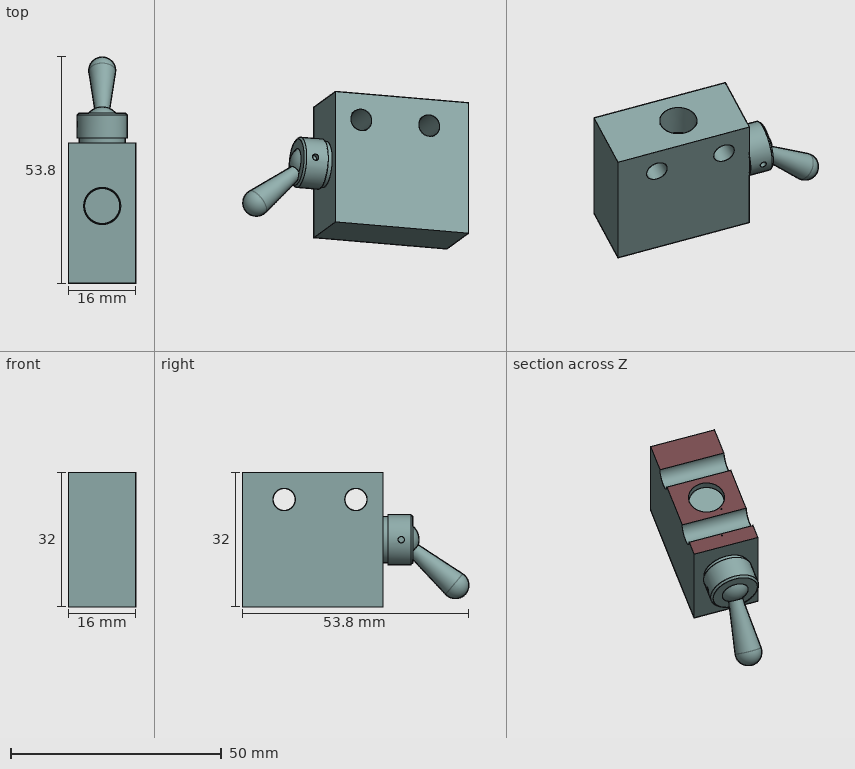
import cadquery as cq
import math

block_width = 16.0
block_height = 32.0
total_length = 53.75
block_length = 33.4

mount_diameter = 5.2
mount_drop = 6.45
mount_offsets = (6.45, 23.5)

port_diameter = 8.8
port_floor_diameter = 8.35
port_depth = 8.05
port_offset = 15.0

neck_diameter = 11.0
neck_length = 1.15
collar_diameter = 12.0
collar_end = 7.05
collar_chamfer = 0.5
pin_diameter = 1.5
pin_depth = 1.6
pivot_offset = 4.3

ball_radius = 4.25
lever_angle = 40.0
shaft_base_radius = 1.25
knob_radius = 3.2
lever_reach = total_length - block_length
knob_center_offset = lever_reach - knob_radius
knob_distance = (knob_center_offset - pivot_offset) / math.cos(math.radians(lever_angle))


def make_block():
    block = cq.Workplane("XY").box(block_width, block_length, block_height)
    block = block.translate((0, -block_length / 2, 0))
    for offset in mount_offsets:
        hole = (
            cq.Workplane("YZ")
            .center(-offset, block_height / 2 - mount_drop)
            .circle(mount_diameter / 2)
            .extrude(block_width, both=True)
        )
        block = block.cut(hole)
    port = cq.Solid.makeCone(
        port_diameter / 2,
        port_floor_diameter / 2,
        port_depth,
        pnt=cq.Vector(0, -port_offset, block_height / 2),
        dir=cq.Vector(0, 0, -1),
    )
    return block.cut(cq.Workplane(port))


def make_collar():
    facing_back = cq.Workplane("XZ").workplane(invert=True)
    neck = facing_back.circle(neck_diameter / 2).extrude(neck_length)
    collar = (
        facing_back.workplane(offset=neck_length)
        .circle(collar_diameter / 2)
        .extrude(collar_end - neck_length)
        .faces(">Y")
        .chamfer(collar_chamfer)
    )
    pin_hole_start = collar_diameter / 2 - pin_depth
    for side in (-1, 1):
        hole = (
            cq.Workplane("YZ")
            .center(pivot_offset, 0)
            .workplane(offset=side * pin_hole_start)
            .circle(pin_diameter / 2)
            .extrude(side * block_width)
        )
        collar = collar.cut(hole)
    return neck.union(collar)


def make_lever():
    taper = math.asin((knob_radius - shaft_base_radius) / knob_distance)
    tangent_radius = knob_radius * math.cos(taper)
    tangent_distance = knob_distance - knob_radius * math.sin(taper)
    arc_angle = (math.pi / 2 + taper) / 2
    arc_middle = (
        knob_radius * math.sin(arc_angle),
        knob_distance + knob_radius * math.cos(arc_angle),
    )
    shaft = (
        cq.Workplane("XY")
        .lineTo(shaft_base_radius, 0)
        .lineTo(tangent_radius, tangent_distance)
        .threePointArc(arc_middle, (0, knob_distance + knob_radius))
        .close()
        .revolve(360, (0, 0), (0, 1))
        .rotate((0, 0, 0), (1, 0, 0), -lever_angle)
    )
    ball = cq.Workplane("XY").sphere(ball_radius)
    return ball.union(shaft).translate((0, pivot_offset, 0))


result = make_block().union(make_collar()).union(make_lever())